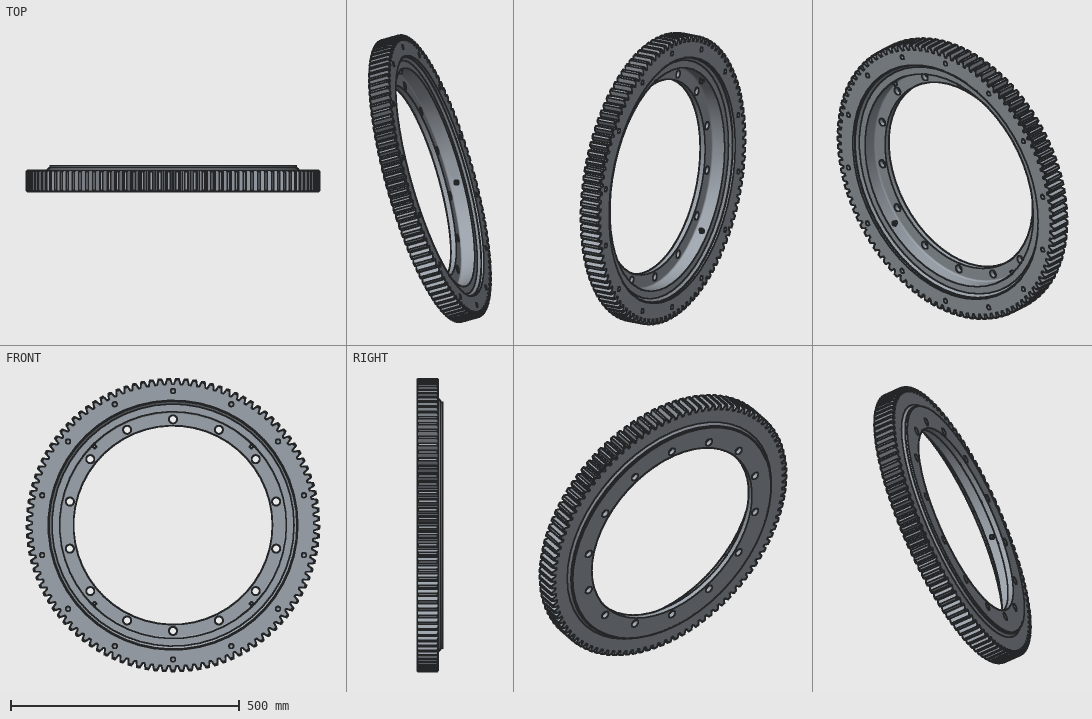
import cadquery as cq
import math

total_width = 56.0
front = -total_width / 2
back = total_width / 2

tooth_count = 105
tip_radius = 320.0
pitch_radius = 315.0
root_radius = 308.0
pressure_angle = math.radians(20)
tooth_share = 0.53
gear_width = 46.0
gear_back = front + gear_width
tooth_chamfer = 2.5
first_tooth_angle = math.radians(-90)

joint_radius = 264.0

bore_radius = 217.0
wall_radius = 247.5
flange_thickness = 13.0
flange_front = back - flange_thickness
inner_front = -16.0
wall_fillet = 4.0
rim_radius = 269.0
rim_thickness = 4.5
rim_front = back - rim_thickness

seat_radius = 272.5
front_seal_land = 2.0
back_seal_radius = 276.5

bolt_count = 14
first_bolt_angle = 90.0
gear_hole_circle = 293.0
gear_hole_diameter = 10.0
gear_hole_depth = 20.5
drill_point_angle = 118.0
flange_hole_circle = 231.0
flange_hole_diameter = 17.0

nipple_count = 4
first_nipple_angle = 45.0
collar_diameter = 10.0
collar_reach = 2.0
nozzle_diameter = 6.5
nozzle_reach = 8.0
nipple_depth = 5.0
nipple_y = -1.0


def ring(profile):
    """Solid of revolution around the Y axis from (radius, y) corners."""
    return cq.Workplane("XY").polyline(profile).close().revolve(360, (0, 0, 0), (0, 1, 0))


def polar(radius, angle):
    return (radius * math.cos(angle), radius * math.sin(angle))


def bolt_places(radius, y):
    """Hole centres on a circle, the first one at +Z."""
    places = []
    for i in range(bolt_count):
        x, z = polar(radius, math.radians(first_bolt_angle + i * 360 / bolt_count))
        places.append(cq.Vector(x, y, z))
    return places


def involute(angle):
    return math.tan(angle) - angle


def tooth_half_angle(radius):
    """Half of the angle that an involute tooth covers at a radius."""
    base_radius = pitch_radius * math.cos(pressure_angle)
    flank_angle = math.acos(base_radius / radius)
    at_pitch = math.pi / tooth_count * tooth_share
    return at_pitch + involute(pressure_angle) - involute(flank_angle)


def gear_blank():
    """Toothed disc between the front and back planes of the gear."""
    flank_middle = (root_radius + tip_radius) / 2
    pitch = 2 * math.pi / tooth_count
    root_half = tooth_half_angle(root_radius)
    middle_half = tooth_half_angle(flank_middle)
    tip_half = tooth_half_angle(tip_radius)
    outline = cq.Workplane("XZ", origin=(0, gear_back, 0))
    outline = outline.moveTo(*polar(root_radius, first_tooth_angle - root_half))
    for tooth in range(tooth_count):
        middle = first_tooth_angle + tooth * pitch
        outline = (
            outline
            .threePointArc(polar(flank_middle, middle - middle_half), polar(tip_radius, middle - tip_half))
            .threePointArc(polar(tip_radius, middle), polar(tip_radius, middle + tip_half))
            .threePointArc(polar(flank_middle, middle + middle_half), polar(root_radius, middle + root_half))
        )
        gap_middle = polar(root_radius, middle + pitch / 2)
        next_root = polar(root_radius, middle + pitch - root_half)
        if tooth < tooth_count - 1:
            outline = outline.threePointArc(gap_middle, next_root)
    return outline.threePointArc(gap_middle, next_root).close().extrude(gear_width)


def chamfered_disc():
    """Disc that bevels the tooth tips at both ends."""
    chamfer_radius = tip_radius - tooth_chamfer
    return ring([
        (0, front),
        (chamfer_radius, front),
        (tip_radius, front + tooth_chamfer),
        (tip_radius, gear_back - tooth_chamfer),
        (chamfer_radius, gear_back),
        (0, gear_back),
    ])


def drilled_hole():
    """Blind hole with a drill point, from the origin towards +Y."""
    hole_radius = gear_hole_diameter / 2
    point_depth = hole_radius / math.tan(math.radians(drill_point_angle / 2))
    return ring([
        (0, 0),
        (hole_radius, 0),
        (hole_radius, gear_hole_depth),
        (0, gear_hole_depth + point_depth),
    ]).val()


def make_gear_ring():
    """Toothed ring with a wider front seat for the seal and blind holes in its front."""
    body = gear_blank().intersect(chamfered_disc())
    opening = ring([
        (0, front),
        (seat_radius, front),
        (seat_radius, inner_front),
        (joint_radius, inner_front),
        (joint_radius, gear_back),
        (0, gear_back),
    ])
    body = body.cut(opening)
    drill = drilled_hole()
    for place in bolt_places(gear_hole_circle, front):
        body = body.cut(cq.Workplane(drill.translate(place)))
    return body


def radial_cylinder(diameter, start, end):
    """Cylinder along X, at the nipples' height along Y."""
    return cq.Workplane("YZ", origin=(start, nipple_y, 0)).circle(diameter / 2).extrude(end - start)


def make_nipples():
    """Radial grease nipples, half way between the X and Z axes, each with a collar and a nozzle."""
    collar = radial_cylinder(collar_diameter, wall_radius - collar_reach, wall_radius + nipple_depth)
    nozzle = radial_cylinder(nozzle_diameter, wall_radius - nozzle_reach, wall_radius)
    stud = collar.union(nozzle).val()
    return [
        stud.rotate(cq.Vector(0, 0, 0), cq.Vector(0, 1, 0), first_nipple_angle + i * 360 / nipple_count)
        for i in range(nipple_count)
    ]


def make_inner_ring(nipples):
    """Ring with an inward back flange, an outer rim and a pocket for each nipple."""
    root = wall_radius - wall_fillet
    corner = wall_fillet * math.sqrt(0.5)
    body = (
        cq.Workplane("XY")
        .moveTo(bore_radius, back)
        .lineTo(rim_radius, back)
        .lineTo(rim_radius, rim_front)
        .lineTo(joint_radius, rim_front)
        .lineTo(joint_radius, inner_front)
        .lineTo(wall_radius, inner_front)
        .lineTo(wall_radius, flange_front - wall_fillet)
        .threePointArc((root + corner, flange_front - wall_fillet + corner), (root, flange_front))
        .lineTo(bore_radius, flange_front)
        .close()
        .revolve(360, (0, 0, 0), (0, 1, 0))
    )
    for place in bolt_places(flange_hole_circle, back):
        hole = cq.Workplane("XZ", origin=place).circle(flange_hole_diameter / 2).extrude(flange_thickness)
        body = body.cut(hole)
    for nipple in nipples:
        body = body.cut(cq.Workplane(nipple))
    return body


def make_front_seal():
    """Seal in the gear ring's seat, with a 45 degree lip down to the inner ring's front face."""
    lip_radius = seat_radius - front_seal_land
    lip_front = inner_front - (lip_radius - joint_radius)
    return ring([
        (seat_radius, lip_front),
        (lip_radius, lip_front),
        (joint_radius, inner_front),
        (seat_radius, inner_front),
    ])


def make_back_seal():
    """Seal between the rim and the gear ring's back, with a 45 degree outer lip."""
    lip_radius = back_seal_radius - (rim_front - gear_back)
    return ring([
        (joint_radius, rim_front),
        (lip_radius, rim_front),
        (back_seal_radius, gear_back),
        (joint_radius, gear_back),
    ])


nipples = make_nipples()
gear_ring = make_gear_ring()
inner_ring = make_inner_ring(nipples)
front_seal = make_front_seal()
back_seal = make_back_seal()

result = cq.Compound.makeCompound([
    gear_ring.val(),
    inner_ring.val(),
    front_seal.val(),
    back_seal.val(),
    *nipples,
])